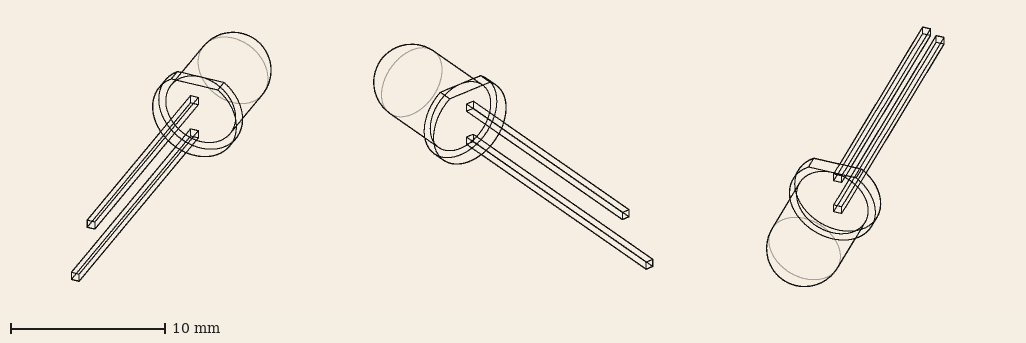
import cadquery as cq

total_length = 27.7
flange_diameter = 5.95
flange_height = 5.45
flange_thickness = 1.0
long_lead = 19.05
short_lead = 16.53
lead_size = 0.55
lead_pitch = 2.55

flat_z = flange_height - flange_diameter / 2
body_radius = flat_z
body_length = total_length - long_lead
barrel_end = body_length - body_radius


def make_body():
    """Barrel and hemispherical dome, revolved about the Y axis."""
    diagonal = body_radius * 0.5**0.5
    profile = (
        cq.Workplane("XY")
        .lineTo(body_radius, 0)
        .lineTo(body_radius, barrel_end)
        .threePointArc((diagonal, barrel_end + diagonal), (0, body_length))
        .close()
    )
    return profile.revolve(360, (0, 0, 0), (0, 1, 0))


def make_flange():
    """Disc at the base of the body, cut flat on its +Z side."""
    disc = cq.Workplane("XZ").circle(flange_diameter / 2).extrude(-flange_thickness)
    keep = (
        cq.Workplane("XY")
        .box(flange_diameter, flange_thickness, flange_height, centered=(True, False, False))
        .translate((0, 0, -flange_diameter / 2))
    )
    return disc.intersect(keep)


def make_lead(length, z):
    """Square lead running from the flange base towards -Y."""
    return cq.Workplane("XZ").center(0, z).rect(lead_size, lead_size).extrude(length)


result = (
    make_body()
    .union(make_flange())
    .union(make_lead(short_lead, lead_pitch / 2))
    .union(make_lead(long_lead, -lead_pitch / 2))
)